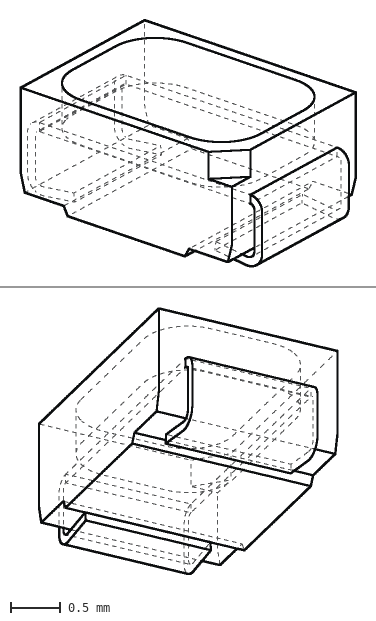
import cadquery as cq
import math

housing_length = 2.7
housing_width = 2.0
housing_height = 1.25
foot_height = 0.1
foot_bottom_length = 1.5
foot_top_length = 1.602
end_taper_height = 0.2
end_taper_inset = 0.05
corner_notch = 0.3

lens_margin = 0.15
lens_length = housing_length - 2 * lens_margin
lens_width = housing_width - 2 * lens_margin
lens_corner_radius = 0.5

lead_span = 3.0
lead_width = 1.4
lead_thickness = 0.1
lead_top = 0.75
upper_bend_radius = 0.15
lower_bend_radius = 0.185
lead_drop = 0.048
lead_tip_x = 0.91

lens_depth = housing_height - lead_top


def make_lens():
    return (
        cq.Workplane("XY", origin=(0, 0, lead_top))
        .rect(lens_length, lens_width)
        .extrude(lens_depth)
        .edges("|Z")
        .fillet(lens_corner_radius)
    )


def lead_half_points():
    """Profile points of the left half of the strip, outer and inner sides."""
    upper_x = -lead_span / 2 + upper_bend_radius
    upper_z = lead_top - upper_bend_radius
    lower_x = -lead_span / 2 + lower_bend_radius
    lower_z = lower_bend_radius - lead_drop
    inner_lower_radius = lower_bend_radius - lead_thickness

    tip_rise = foot_height - lower_z
    tip_run = -lead_tip_x - lower_x
    slope = math.atan2(tip_rise, tip_run) + math.asin(inner_lower_radius / math.hypot(tip_run, tip_rise))
    leg_normal = (math.sin(slope), -math.cos(slope))
    mid_angle = math.pi + (math.pi / 2 + slope) / 2
    tip_inner = (-lead_tip_x, foot_height)
    tip_outer = (
        tip_inner[0] + lead_thickness * leg_normal[0],
        tip_inner[1] + lead_thickness * leg_normal[1],
    )

    def bends(depth):
        """Start, middle and end of both bends, at a depth below the outer face."""
        upper_radius = upper_bend_radius - depth
        lower_radius = lower_bend_radius - depth
        diagonal = upper_radius * math.sqrt(0.5)
        return {
            "top": (upper_x, upper_z + upper_radius),
            "upper_mid": (upper_x - diagonal, upper_z + diagonal),
            "upper_side": (upper_x - upper_radius, upper_z),
            "lower_side": (lower_x - lower_radius, lower_z),
            "lower_mid": (
                lower_x + lower_radius * math.cos(mid_angle),
                lower_z + lower_radius * math.sin(mid_angle),
            ),
            "leg": (lower_x + lower_radius * leg_normal[0], lower_z + lower_radius * leg_normal[1]),
        }

    return bends(0), bends(lead_thickness), tip_outer, tip_inner


def make_lead_strip():
    outer, inner, tip_outer, tip_inner = lead_half_points()
    half = (
        cq.Workplane("XZ")
        .moveTo(0, lead_top)
        .lineTo(*outer["top"])
        .threePointArc(outer["upper_mid"], outer["upper_side"])
        .lineTo(*outer["lower_side"])
        .threePointArc(outer["lower_mid"], outer["leg"])
        .lineTo(*tip_outer)
        .lineTo(*tip_inner)
        .lineTo(*inner["leg"])
        .threePointArc(inner["lower_mid"], inner["lower_side"])
        .lineTo(*inner["upper_side"])
        .threePointArc(inner["upper_mid"], inner["top"])
        .lineTo(0, lead_top - lead_thickness)
        .close()
        .extrude(lead_width / 2, both=True)
    )
    return half.union(half.mirror("YZ")).clean()


def make_housing(lens, lead_strip):
    half_length = housing_length / 2
    right_side = [
        (foot_bottom_length / 2, 0),
        (foot_top_length / 2, foot_height),
        (half_length - end_taper_inset, foot_height),
        (half_length, foot_height + end_taper_height),
        (half_length, housing_height),
    ]
    left_side = [(-x, z) for x, z in reversed(right_side)]
    block = (
        cq.Workplane("XZ")
        .polyline(right_side + left_side)
        .close()
        .extrude(housing_width / 2, both=True)
    )

    corner_x = half_length
    corner_y = -housing_width / 2
    notch = (
        cq.Workplane("XY", origin=(0, 0, housing_height - corner_notch))
        .polyline([
            (corner_x, corner_y),
            (corner_x, corner_y + corner_notch),
            (corner_x - corner_notch, corner_y),
        ])
        .close()
        .extrude(corner_notch)
    )
    return block.cut(notch).cut(lens).cut(lead_strip)


lens = make_lens()
lead_strip = make_lead_strip()
housing = make_housing(lens, lead_strip)

result = cq.Compound.makeCompound([housing.val(), lens.val(), lead_strip.val()])